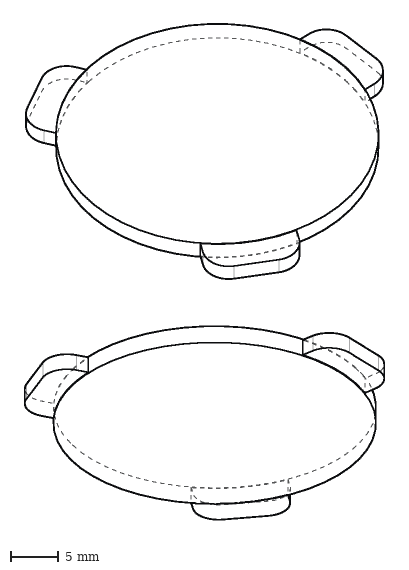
import cadquery as cq

lens_radius = 17.0
rim_thickness = 2.0
total_height = 8.8

tab_count = 3
tab_reach = 20.3
tab_width = 10.35
tab_thickness = 1.85
tab_corner_radius = 2.75
first_tab_angle = 90.0


def make_lens():
    """Revolve the half profile of the biconvex lens about Z."""
    half_rim = rim_thickness / 2
    half_height = total_height / 2
    cap_height = half_height - half_rim
    sphere_radius = (lens_radius**2 + cap_height**2) / (2 * cap_height)

    mid_radius = lens_radius / 2
    mid_drop = sphere_radius - (sphere_radius**2 - mid_radius**2) ** 0.5
    mid_height = half_height - mid_drop

    return (
        cq.Workplane("XZ")
        .moveTo(0, -half_height)
        .threePointArc((mid_radius, -mid_height), (lens_radius, -half_rim))
        .lineTo(lens_radius, half_rim)
        .threePointArc((mid_radius, mid_height), (0, half_height))
        .close()
        .revolve(360, (0, 0, 0), (0, 1, 0))
    )


def make_tab(angle):
    """Make a bar from the lens centre with rounded outer corners, turned to the given angle."""
    return (
        cq.Workplane("XY")
        .box(tab_reach, tab_width, tab_thickness, centered=(False, True, True))
        .edges("|Z and >X")
        .fillet(tab_corner_radius)
        .rotate((0, 0, 0), (0, 0, 1), angle)
    )


result = make_lens()
for index in range(tab_count):
    result = result.union(make_tab(first_tab_angle + index * 360 / tab_count))